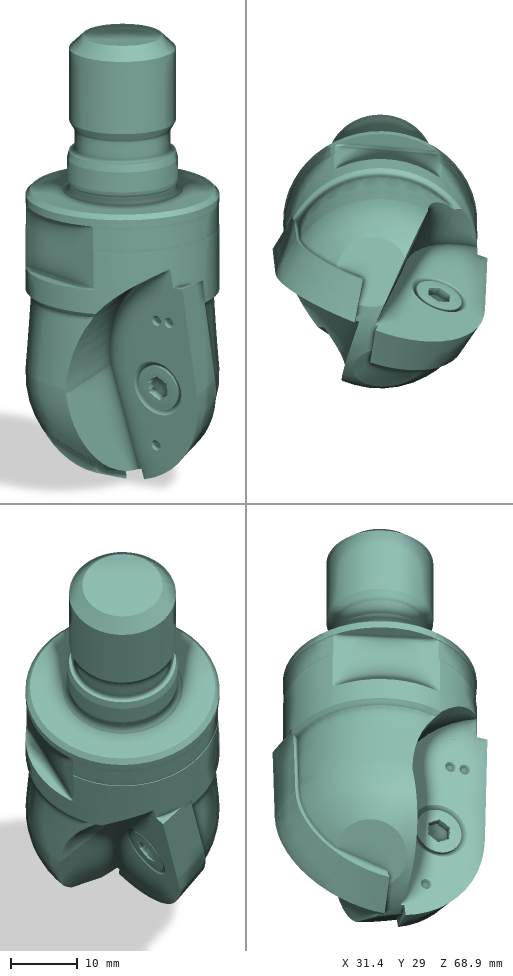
import cadquery as cq
import math


ball_radius = 14.495
ball_center_z = 16.2
neck_half_angle = 4.0
neck_top_z = 28.4
collar_bottom_z = 29.5
collar_chamfer = 0.75
body_radius = 14.495
band_radius = 14.4
band_bottom_z = 39.2
band_top_z = 43.05
shoulder_z = 44.9
shoulder_chamfer = 0.7

base_radius = 8.05
base_fillet = 0.75
base_recess_radius = 9.0
base_recess_depth = 0.15
pilot_radius = 8.3
pilot_bottom_z = 46.75
pilot_heel_radius = 8.2
pilot_heel_z = 46.2
pilot_step_z = 45.9
pilot_top_z = 49.85
pilot_cone_top_z = 51.0
pilot_cone_top_radius = 8.0
relief_radius = 7.195
relief_fillet = 0.5
relief_top_z = 54.3
thread_radius = 8.0
thread_bottom_z = 55.7
thread_top_z = 66.9
shank_top_z = 68.85
shank_top_radius = 6.0

flat_turn = 15.0
flat_distance = 12.05
flat_bottom_z = 33.1
flat_top_z = 43.05
flat_corner_fillet = 0.35

nose_flat_normal = cq.Vector(-0.28, -0.5, -0.82).normalized()
nose_flat_distance = 0.2

rake_tilt = 9.5
cut_radius = 15.7
insert_thickness = 6.2
relief_angle = 10.0
pocket_clearance = 0.7
side_lean = 2.0

hole_x = 8.435
hole_height = 16.2
sink_radius = 4.35
sink_depth = 0.7
head_radius = 3.6
head_edge_depth = 0.15
head_crown_radius = 2.51
head_crown_depth = 0.1
socket_core_radius = 1.7
socket_lobe_radius = 0.35
socket_lobe_place = 1.6
socket_lobes = 6
socket_depth = 1.4
socket_cone_depth = 0.75
dimple_radius = 0.8
dimple_floor_radius = 0.5
dimple_depth = 0.4
dimple_places = [(9.6, 27.5), (11.85, 27.55), (6.95, 6.6)]

outer_tip_x = 4.05
outer_top = 33.55
outer_inner_arc = [(13.6, outer_top), (7.2, 30.7), (0.9, 17.9)]
center_tip_x = -0.75
center_top = 31.05
center_inner_arc = [(12.4, center_top), (6.2, 26.4), (3.2, 19.3)]

flute_foot_height = -3.45
outer_flute_arc = [(15.15, 37.1), (3.1, 28.9), (0.1, 18.6)]
outer_flute_foot = (4.3, flute_foot_height)
center_flute_arc = [(15.15, 33.3), (8.3, 30.8), (2.35, 19.3)]
center_flute_foot = (-1.8, flute_foot_height)

reach = 41.3


def rake_plane():
    """Rake face of an insert on the +X side: local x is X, local y climbs the face, normal points out."""
    tilt = math.radians(rake_tilt)
    return cq.Plane(origin=(0, 0, 0), xDir=(1, 0, 0), normal=(0, -math.cos(tilt), -math.sin(tilt)))


def cut_circle_height(x):
    """Height on the rake face of the lower half of the cutting circle."""
    return cut_radius - math.sqrt(cut_radius**2 - x**2)


def half_turn(shape):
    """The shape turned to the opposite side of the tool axis."""
    turn = cq.Location(cq.Vector(0, 0, 0), cq.Vector(0, 0, 1), 180)
    return cq.Workplane(shape.val().moved(turn))


def make_insert(tip_x, top, inner_arc):
    """Insert on the +X side, narrowing by the relief angle from its rake face to its back."""
    lean = math.radians(side_lean)
    tip = (tip_x, cut_circle_height(tip_x))
    tangent = (cut_radius * math.cos(lean), cut_radius * (1 + math.sin(lean)))
    corner = (tangent[0] - (top - tangent[1]) * math.tan(lean), top)
    mid_angle = (math.atan2(tip[1] - cut_radius, tip_x) + lean) / 2
    arc_mid = (cut_radius * math.cos(mid_angle), cut_radius * (1 + math.sin(mid_angle)))
    arc_start, arc_through, arc_end = inner_arc
    return (
        cq.Workplane(rake_plane())
        .moveTo(*tip)
        .threePointArc(arc_mid, tangent)
        .lineTo(*corner)
        .lineTo(*arc_start)
        .threePointArc(arc_through, arc_end)
        .close()
        .extrude(-insert_thickness, taper=relief_angle)
    )


def make_flute(arc, foot):
    """Chip space in front of the rake plane, bounded by an arc and its straight run to the nose."""
    start, through, end = arc
    return (
        cq.Workplane(rake_plane())
        .moveTo(*start)
        .threePointArc(through, end)
        .lineTo(*foot)
        .lineTo(reach, foot[1])
        .lineTo(reach, start[1])
        .close()
        .extrude(reach)
    )


def pocket_cutters(insert):
    """Seat with the insert's own shape, and the same moved outward to clear the holder beside it."""
    return insert, insert.translate((pocket_clearance, 0, 0))


def screw_recess():
    """Countersink down to a crowned screw head with a six-lobed socket."""
    cone = (
        cq.Workplane("XZ")
        .polyline([
            (0, 0),
            (sink_radius, 0),
            (head_radius, -sink_depth),
            (head_radius, -head_edge_depth),
            (head_crown_radius, -head_crown_depth),
            (0, -head_crown_depth),
        ])
        .close()
        .revolve(360, (0, 0), (0, 1))
    )
    floor = -socket_depth
    socket = cq.Workplane("XY").workplane(offset=floor).circle(socket_core_radius).extrude(-floor)
    lobes = (
        cq.Workplane("XY")
        .workplane(offset=floor)
        .polarArray(socket_lobe_place, 90, 360, socket_lobes)
        .circle(socket_lobe_radius)
        .extrude(-floor)
    )
    point = cq.Solid.makeCone(
        socket_core_radius, 0, socket_cone_depth, pnt=cq.Vector(0, 0, floor), dir=cq.Vector(0, 0, -1)
    )
    return cone.union(socket).union(lobes).union(cq.Workplane(point)).val()


def dimple():
    """Small tapered mark with a flat floor."""
    return cq.Solid.makeCone(dimple_radius, dimple_floor_radius, dimple_depth, dir=cq.Vector(0, 0, -1))


def cut_on_face(insert, tool, x, height):
    """Cut a tool, modelled about the origin along Z, at a place on the rake face."""
    placed = tool.translate(cq.Vector(x, height, 0)).moved(rake_plane().location)
    return insert.cut(cq.Workplane(placed))


def make_blank():
    """Holder turned about Z, before flats, flutes and pockets."""
    neck = math.radians(neck_half_angle)
    tangent = (ball_radius * math.cos(neck), ball_center_z + ball_radius * math.sin(neck))
    neck_top_radius = tangent[0] - (neck_top_z - tangent[1]) * math.tan(neck)
    ball_mid = (neck - math.pi / 2) / 2
    recess_z = shoulder_z - base_recess_depth
    return (
        cq.Workplane("XZ")
        .moveTo(0, ball_center_z - ball_radius)
        .threePointArc(
            (ball_radius * math.cos(ball_mid), ball_center_z + ball_radius * math.sin(ball_mid)), tangent
        )
        .lineTo(neck_top_radius, neck_top_z)
        .lineTo(body_radius - collar_chamfer, collar_bottom_z - collar_chamfer)
        .lineTo(body_radius, collar_bottom_z)
        .lineTo(body_radius, band_bottom_z)
        .lineTo(band_radius, band_bottom_z)
        .lineTo(band_radius, band_top_z)
        .lineTo(body_radius, band_top_z)
        .lineTo(body_radius, shoulder_z - shoulder_chamfer)
        .lineTo(body_radius - shoulder_chamfer, shoulder_z)
        .lineTo(base_recess_radius, shoulder_z)
        .lineTo(base_radius + base_fillet, recess_z)
        .radiusArc((base_radius, recess_z + base_fillet), base_fillet)
        .lineTo(base_radius, pilot_step_z)
        .lineTo(pilot_heel_radius, pilot_heel_z)
        .lineTo(pilot_radius, pilot_bottom_z)
        .lineTo(pilot_radius, pilot_top_z)
        .lineTo(pilot_cone_top_radius, pilot_cone_top_z)
        .lineTo(relief_radius + relief_fillet, pilot_cone_top_z)
        .radiusArc((relief_radius, pilot_cone_top_z + relief_fillet), relief_fillet)
        .lineTo(relief_radius, relief_top_z)
        .lineTo(thread_radius, thread_bottom_z)
        .lineTo(thread_radius, thread_top_z)
        .lineTo(shank_top_radius, shank_top_z)
        .lineTo(0, shank_top_z)
        .close()
        .revolve(360, (0, 0), (0, 1))
    )


def flat_cutter():
    """Block that leaves one wrench flat, with rounded corners along its floor."""
    return (
        cq.Workplane("XY")
        .box(2 * reach, reach, flat_top_z - flat_bottom_z, centered=(True, False, False))
        .edges("<Y and |X")
        .fillet(flat_corner_fillet)
        .translate((0, flat_distance, flat_bottom_z))
        .rotate((0, 0, 0), (0, 0, 1), -flat_turn)
    )


def nose_flat_cutter():
    """Block that cuts one slanted flat on the nose beside an insert."""
    center = nose_flat_normal * nose_flat_distance
    plane = cq.Plane(origin=center.toTuple(), normal=nose_flat_normal.toTuple())
    return cq.Workplane(plane).rect(reach, reach).extrude(reach)


outer_blank = make_insert(outer_tip_x, outer_top, outer_inner_arc)
center_blank = make_insert(center_tip_x, center_top, center_inner_arc)

outer_insert = cut_on_face(outer_blank, screw_recess(), hole_x, hole_height)
for x, height in dimple_places:
    outer_insert = cut_on_face(outer_insert, dimple(), x, height)

center_insert = half_turn(cut_on_face(center_blank, screw_recess(), hole_x, hole_height))

holder = make_blank()
for cutter in (flat_cutter(), nose_flat_cutter()):
    holder = holder.cut(cutter).cut(half_turn(cutter))
holder = holder.cut(make_flute(outer_flute_arc, outer_flute_foot))
holder = holder.cut(half_turn(make_flute(center_flute_arc, center_flute_foot)))
for cutter in pocket_cutters(outer_blank):
    holder = holder.cut(cutter)
for cutter in pocket_cutters(center_blank):
    holder = holder.cut(half_turn(cutter))

result = cq.Compound.makeCompound([
    holder.solids().val(),
    outer_insert.solids().val(),
    center_insert.solids().val(),
])